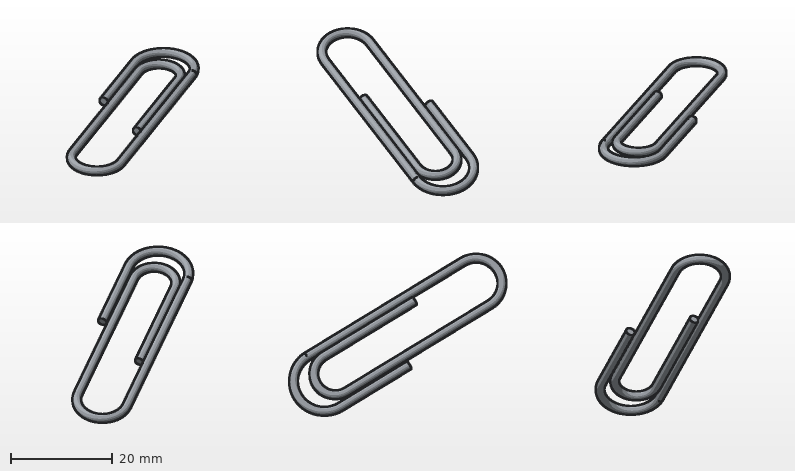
import cadquery as cq

wire_diameter = 1.8
total_length = 48.95
total_width = 13.95
bottom_bend_radius = 5.1
inner_bend_radius = 4.25
inner_bend_y = 14.85
outer_bend_rise = 0.3
outer_leg_end_y = 1.5
inner_leg_end_y = -6.3

wire_radius = wire_diameter / 2
outer_bend_radius = (total_width - wire_diameter) / 2

right_leg_x = outer_bend_radius
outer_leg_x = -outer_bend_radius
left_leg_x = right_leg_x - 2 * bottom_bend_radius
inner_leg_x = left_leg_x + 2 * inner_bend_radius

outer_bend_y = total_length / 2 - wire_radius - outer_bend_radius
right_leg_top_y = outer_bend_y + outer_bend_rise
bottom_bend_y = -total_length / 2 + wire_radius + bottom_bend_radius


def leg(x, start_y, end_y):
    """Straight round wire parallel to Y."""
    low_y = min(start_y, end_y)
    profile = cq.Workplane("XZ", origin=(x, low_y, 0)).circle(wire_radius)
    return profile.extrude(-abs(end_y - start_y))


def bend(start_x, start_y, end_x, end_y, direction):
    """Bend joining two legs, leaving the first toward +Y (1) or -Y (-1)."""
    start = cq.Vector(start_x, start_y, 0)
    end = cq.Vector(end_x, end_y, 0)
    arc = cq.Edge.makeTangentArc(start, cq.Vector(0, direction, 0), end)
    profile = cq.Workplane("XZ", origin=start.toTuple()).circle(wire_radius)
    return profile.sweep(cq.Wire.assembleEdges([arc]))


wire_sections = [
    leg(outer_leg_x, outer_leg_end_y, outer_bend_y),
    bend(outer_leg_x, outer_bend_y, right_leg_x, right_leg_top_y, 1),
    leg(right_leg_x, right_leg_top_y, bottom_bend_y),
    bend(right_leg_x, bottom_bend_y, left_leg_x, bottom_bend_y, -1),
    leg(left_leg_x, bottom_bend_y, inner_bend_y),
    bend(left_leg_x, inner_bend_y, inner_leg_x, inner_bend_y, 1),
    leg(inner_leg_x, inner_bend_y, inner_leg_end_y),
]

result = wire_sections[0]
for section in wire_sections[1:]:
    result = result.union(section)